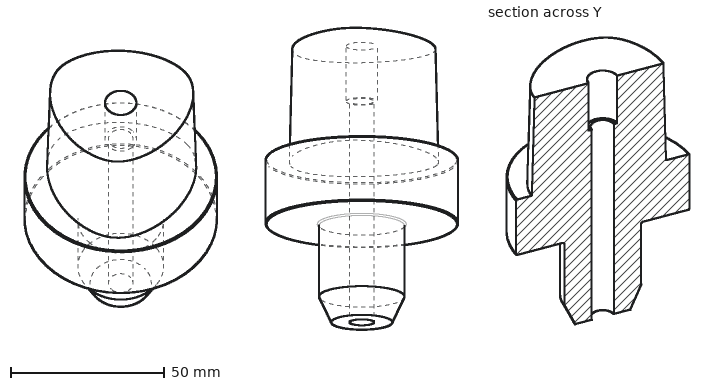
import cadquery as cq
import math

total_height = 93.0
cone_height = 8.65
pilot_height = 33.0
flange_height = 21.9

tip_diameter = 20.0
pilot_diameter = 28.0
flange_diameter = 63.0
flange_chamfer = 0.4
root_fillet = 0.6
bore_diameter = 8.0
counterbore_diameter = 10.2
counterbore_depth = 18.6

shank_base_width = 48.7
shank_taper = 1 / 20
lobe_offset = 1.4
outline_steps = 72

flange_top = pilot_height + flange_height
shank_height = total_height - flange_top
shank_top_width = shank_base_width - shank_taper * shank_height


def lobed_section(z, width):
    """Closed three-lobed outline at height z with one lobe pointing toward -X."""
    points = []
    for step in range(outline_steps):
        angle = 2 * math.pi * step / outline_steps
        reach = width / 2 - lobe_offset * math.cos(3 * angle)
        reach_slope = 3 * lobe_offset * math.sin(3 * angle)
        x = reach * math.cos(angle) - reach_slope * math.sin(angle)
        y = reach * math.sin(angle) + reach_slope * math.cos(angle)
        points.append(cq.Vector(x, y, z))
    return cq.Wire.assembleEdges([cq.Edge.makeSpline(points, periodic=True)])


def disc(z, diameter, height):
    return cq.Workplane("XY", origin=(0, 0, z)).circle(diameter / 2).extrude(height)


pilot_radius = pilot_diameter / 2
pilot = (
    cq.Workplane("XZ")
    .moveTo(0, 0)
    .lineTo(tip_diameter / 2, 0)
    .lineTo(pilot_radius, cone_height)
    .lineTo(pilot_radius, pilot_height - root_fillet)
    .radiusArc((pilot_radius + root_fillet, pilot_height), root_fillet)
    .lineTo(0, pilot_height)
    .close()
    .revolve(360, (0, 0, 0), (0, 1, 0))
)

flange = disc(pilot_height, flange_diameter, flange_height)
flange = flange.faces("<Z or >Z").edges().chamfer(flange_chamfer)

shank = cq.Workplane(
    cq.Solid.makeLoft(
        [
            lobed_section(flange_top, shank_base_width),
            lobed_section(total_height, shank_top_width),
        ],
        True,
    )
)

bore = disc(0, bore_diameter, total_height)
counterbore = disc(total_height - counterbore_depth, counterbore_diameter, counterbore_depth)

result = pilot.union(flange).union(shank).cut(bore).cut(counterbore)